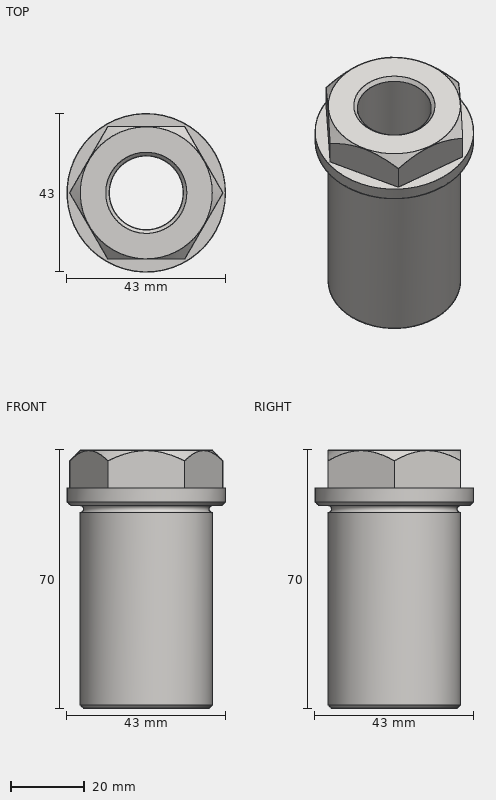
import cadquery as cq
import math

total_height = 70.0
hex_height = 10.2
flange_thickness = 4.8
flange_top = total_height - hex_height
flange_bottom = flange_top - flange_thickness

flange_radius = 43.0 / 2
flange_chamfer = 1.0
shank_radius = 36.0 / 2
shank_chamfer = 1.0

groove_radius = 0.95
groove_middle = flange_bottom - groove_radius
groove_bottom = groove_middle - groove_radius

hex_across_flats = 36.0
hex_across_corners = hex_across_flats / math.cos(math.radians(30))
crown_radius = 17.9
crown_angle = 45.0

bore_radius = 20.0 / 2
bore_chamfer = 1.0


def make_body():
    """Revolve the shank, relief groove and flange about the Z axis."""
    profile = (
        cq.Workplane("XZ")
        .lineTo(shank_radius - shank_chamfer, 0)
        .lineTo(shank_radius, shank_chamfer)
        .lineTo(shank_radius, groove_bottom)
        .radiusArc((shank_radius - groove_radius, groove_middle), groove_radius)
        .radiusArc((shank_radius, flange_bottom), groove_radius)
        .lineTo(flange_radius - flange_chamfer, flange_bottom)
        .lineTo(flange_radius, flange_bottom + flange_chamfer)
        .lineTo(flange_radius, flange_top)
        .lineTo(0, flange_top)
        .close()
    )
    return profile.revolve(360, (0, 0, 0), (0, 1, 0))


def make_hex_head():
    """Build the hexagon and trim its upper corners with a cone."""
    head_base = cq.Workplane("XY", origin=(0, 0, flange_top))
    hexagon = head_base.polygon(6, hex_across_corners).extrude(hex_height)
    cone_spread = hex_height * math.tan(math.radians(crown_angle))
    crown = (
        cq.Workplane("XZ")
        .moveTo(0, flange_top)
        .lineTo(crown_radius + cone_spread, flange_top)
        .lineTo(crown_radius, total_height)
        .lineTo(0, total_height)
        .close()
        .revolve(360, (0, 0, 0), (0, 1, 0))
    )
    return hexagon.intersect(crown)


def make_bore():
    """Build the through bore with the countersink at its top end."""
    profile = (
        cq.Workplane("XZ")
        .lineTo(bore_radius, 0)
        .lineTo(bore_radius, total_height - bore_chamfer)
        .lineTo(bore_radius + bore_chamfer, total_height)
        .lineTo(0, total_height)
        .close()
    )
    return profile.revolve(360, (0, 0, 0), (0, 1, 0))


result = make_body().union(make_hex_head()).cut(make_bore())